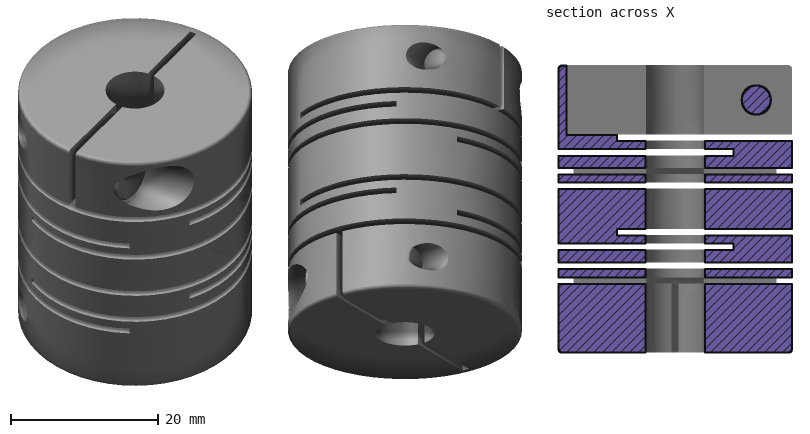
import cadquery as cq

length = 39.0
diameter = 31.8
radius = diameter / 2
bore_diameter = 8.0
rim_fillet = 0.5

slot_width = 0.8
slot_reach = 7.88
outer_pair_heights = (9.7, 7.7)
inner_pair_heights = (5.1, 3.15)

slit_width = 1.0
slit_reach = 14.75
slit_depth = length / 2 - outer_pair_heights[0] - slot_width / 2

screw_offset = 11.0
screw_height = length / 2 - slit_depth / 2
shank_diameter = 4.0
counterbore_diameter = 7.5
head_diameter = 7.02
head_top = 6.82
head_length = 4.0
head_seat = head_top - head_length
shank_length = 12.0
shank_tip = head_seat - shank_length
screw_chamfer = 0.4

slots = [
    (outer_pair_heights[0], "-Y"),
    (outer_pair_heights[1], "+Y"),
    (inner_pair_heights[0], "-X"),
    (inner_pair_heights[1], "+X"),
    (-inner_pair_heights[1], "-Y"),
    (-inner_pair_heights[0], "+Y"),
    (-outer_pair_heights[1], "+X"),
    (-outer_pair_heights[0], "-X"),
]
entry_angles = {"+X": 0, "+Y": 90, "-X": 180, "-Y": 270}


def make_body():
    body = cq.Workplane("XY").circle(radius).extrude(length / 2, both=True)
    body = body.faces("<Z or >Z").edges().fillet(rim_fillet)
    bore = cq.Workplane("XY").circle(bore_diameter / 2).extrude(length / 2, both=True)
    return body.cut(bore)


def make_slot(height, side):
    """Slab entering from the given side and ending past the axis."""
    slab = cq.Workplane("XY").box(
        radius + slot_reach, diameter, slot_width, centered=(False, True, True)
    )
    slab = slab.translate((-slot_reach, 0, height))
    return slab.rotate((0, 0, 0), (0, 0, 1), entry_angles[side])


def to_bottom(shape):
    """Carry a top-end feature to the bottom end by a half turn about the line X = Y."""
    return shape.rotate((0, 0, 0), (1, 1, 0), 180)


def rod_along_x(rod_diameter, start, end):
    """Cylinder on the top screw axis between two X positions."""
    plane = cq.Workplane("YZ", origin=(start, -screw_offset, screw_height))
    return plane.circle(rod_diameter / 2).extrude(end - start)


def make_clamp_cut():
    """Slit open towards -Y, with the clearance hole and counterbore for the screw."""
    slit = cq.Workplane("XY").box(
        slit_width, radius + slit_reach, slit_depth, centered=(True, False, False)
    )
    slit = slit.translate((0, -radius, length / 2 - slit_depth))
    hole = rod_along_x(shank_diameter, -radius, head_seat)
    counterbore = rod_along_x(counterbore_diameter, head_seat, radius)
    return slit.union(hole).union(counterbore)


def make_screw():
    """Cap screw along X, chamfered at the tip and at the top of the head."""
    shank = rod_along_x(shank_diameter, shank_tip, head_seat)
    shank = shank.faces("<X").chamfer(screw_chamfer)
    head = rod_along_x(head_diameter, head_seat, head_top)
    head = head.faces(">X").chamfer(screw_chamfer)
    return shank.union(head)


clamp_cut = make_clamp_cut()
screw = make_screw()

result = make_body()
for slot_height, entry_side in slots:
    result = result.cut(make_slot(slot_height, entry_side))
result = result.cut(clamp_cut).cut(to_bottom(clamp_cut))
result = result.union(screw).union(to_bottom(screw))